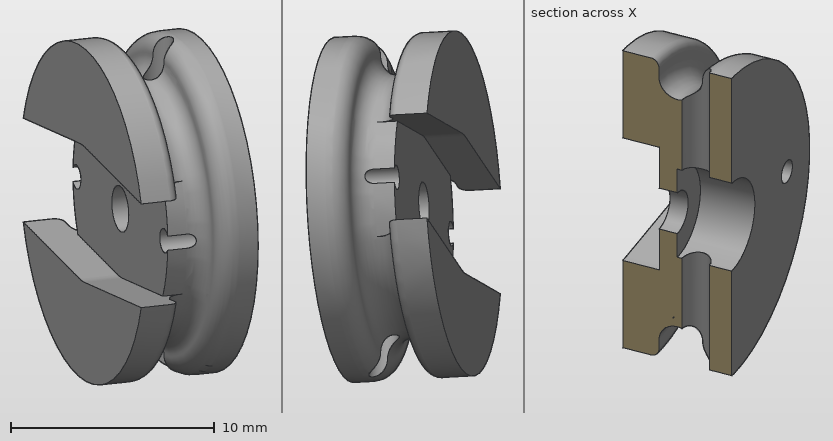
import cadquery as cq

outer_radius = 8.5
thickness = 6.0
groove_radius = 1.0
rear_round = groove_radius
front_round = 0.5
front_flange = 2.0

slot_half_center = 3.5
slot_half_edge = 2.65
slot_edge_x = 8.08
slot_peak_round = 3.0
slot_overrun = 1.7

bore_diameter = 2.31
counterbore_diameter = 5.0
pin_hole_diameter = 1.2
pin_hole_offset = 6.0
cross_hole_diameter = 1.5

front_y = -thickness / 2
rear_y = thickness / 2
slot_floor_y = front_y + front_flange
groove_y = slot_floor_y + groove_radius
groove_rear_y = groove_y + groove_radius
core_radius = outer_radius - rear_round - groove_radius
arc_center_radius = core_radius + groove_radius


def make_wheel():
    """Revolve the half section (radius, y) about the Y axis."""
    return (
        cq.Workplane("XY")
        .moveTo(0, front_y)
        .lineTo(outer_radius, front_y)
        .lineTo(outer_radius, slot_floor_y - front_round)
        .radiusArc((outer_radius - front_round, slot_floor_y), -front_round)
        .lineTo(arc_center_radius, slot_floor_y)
        .threePointArc((core_radius, groove_y), (arc_center_radius, groove_rear_y))
        .radiusArc((outer_radius, groove_rear_y + rear_round), -rear_round)
        .lineTo(outer_radius, rear_y)
        .lineTo(0, rear_y)
        .close()
        .revolve(360, (0, 0, 0), (0, 1, 0))
    )


def slot_prism(end_y):
    """Slot, tallest at the axis, from the front face back to end_y."""
    reach = outer_radius + slot_overrun
    slope = (slot_half_center - slot_half_edge) / slot_edge_x
    half_end = slot_half_center - slope * reach
    outline = [
        (-reach, half_end),
        (0, slot_half_center),
        (reach, half_end),
        (reach, -half_end),
        (0, -slot_half_center),
        (-reach, -half_end),
    ]
    return (
        cq.Workplane("XZ", origin=(0, end_y, 0))
        .polyline(outline)
        .close()
        .extrude(end_y - front_y)
        .edges("|Y and (>Z or <Z)")
        .fillet(slot_peak_round)
    )


def axial_cylinder(radius, x=0, length=thickness):
    """Cylinder parallel to Y, starting at the rear face; by default through the wheel."""
    return cq.Workplane("XZ", origin=(x, rear_y, 0)).circle(radius).extrude(length)


def make_slot():
    """Slot in the front flange; around the core it reaches the groove bottom."""
    around_core = slot_prism(groove_y).cut(axial_cylinder(core_radius))
    return slot_prism(slot_floor_y).union(around_core)


wheel = make_wheel().cut(make_slot())

wheel = wheel.cut(axial_cylinder(bore_diameter / 2))
counterbore_depth = rear_y - groove_y
wheel = wheel.cut(axial_cylinder(counterbore_diameter / 2, length=counterbore_depth))

for side in (-1, 1):
    wheel = wheel.cut(axial_cylinder(pin_hole_diameter / 2, side * pin_hole_offset))

cross_hole = (
    cq.Workplane("XY", origin=(0, groove_rear_y, 0))
    .circle(cross_hole_diameter / 2)
    .extrude(outer_radius, both=True)
)
result = wheel.cut(cross_hole)